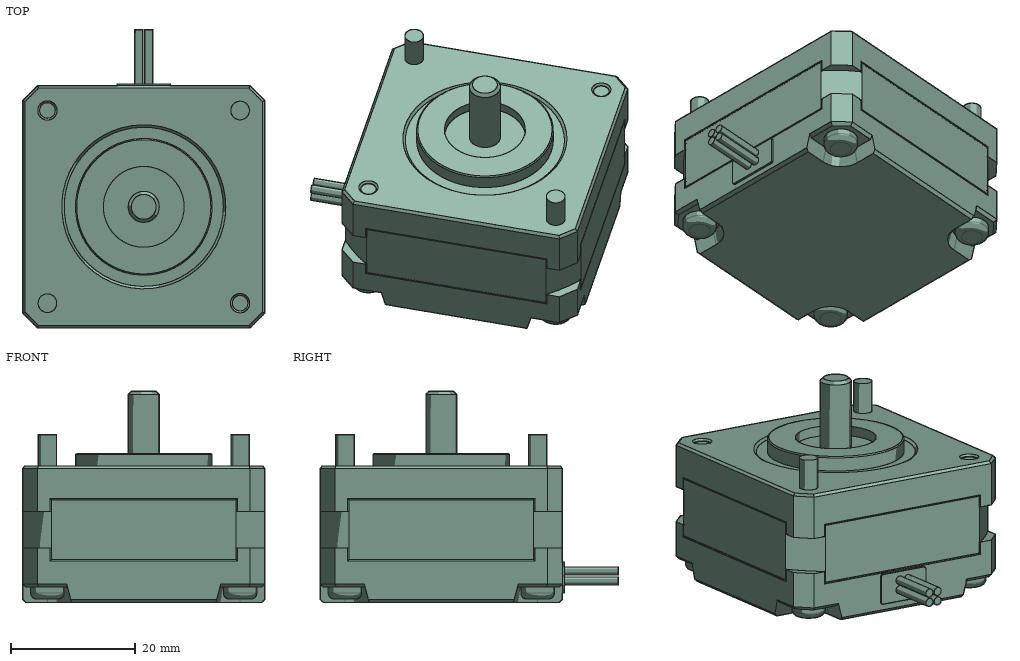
import cadquery as cq
import math

BODY_WIDTH = 39.0
BODY_HEIGHT = 22.0
CORNER_BEVEL = 2.4
TOP_CHAMFER = 0.4
BASE_CHAMFER = 0.5
HALF_WIDTH = BODY_WIDTH / 2

PANEL_WIDTH = 29.7
PANEL_HEIGHT = 9.6
STATOR_MIDDLE_Z = 11.7
GROOVE_WIDTH = 0.2

RELIEF_HEIGHT = 5.9
RELIEF_BOTTOM_Z = STATOR_MIDDLE_Z - RELIEF_HEIGHT / 2
RELIEF_TOP_Z = STATOR_MIDDLE_Z + RELIEF_HEIGHT / 2
STATOR_RADIUS = math.hypot(HALF_WIDTH, PANEL_WIDTH / 2)

POCKET_CEILING_Z = 2.5
POCKET_EDGE_CHAMFER = 0.5
POCKET_TOP_Z = POCKET_CEILING_Z + POCKET_EDGE_CHAMFER
POCKET_BASE_SIZE = 7.9
POCKET_DRAFT = 15.0
POCKET_OVERSIZE = 6.0

SCREW_OFFSET = 15.5
SCREW_HEAD_DIAMETER = 5.4
SCREW_HEAD_BOTTOM_Z = 0.55
SCREW_HEAD_ROUND = 1.0
ROD_DIAMETER = 3.0
HOLE_RIM_DIAMETER = 3.1
ROD_TOP_Z = 27.0
HOLE_CHAMFER = 0.3
HOLE_DEPTH = 0.4

RECESS_DIAMETER = 26.4
RECESS_DEPTH = 0.4
FLANGE_DIAMETER = 22.0
FLANGE_TOP_Z = 24.0
FLANGE_CHAMFER = 0.2
FLANGE_BORE = 13.0
FLANGE_BORE_DEPTH = 1.6

SHAFT_DIAMETER = 5.0
SHAFT_TOP_Z = 34.0
SHAFT_CHAMFER = 0.5

OUTLET_WIDTH = 8.6
OUTLET_HEIGHT = 5.0
OUTLET_THICKNESS = 0.3
OUTLET_CORNER_RADIUS = 0.4
OUTLET_MIDDLE_Z = 4.0
WIRE_DIAMETER = 1.35
WIRE_PITCH = 1.6
WIRE_MIDDLE_Z = 4.27
WIRE_LENGTH = 9.0

EMBED = 1.0

BEVEL_ANGLE = 45
QUARTER_TURNS = [0, 90, 180, 270]


def turn(shape, angle):
    return shape.rotate((0, 0, 0), (0, 0, 1), angle)


def cylinder(diameter, bottom_z, top_z):
    return cq.Workplane("XY").workplane(offset=bottom_z).circle(diameter / 2).extrude(top_z - bottom_z)


def housing_block(bottom_z, top_z):
    height = top_z - bottom_z
    block = cq.Workplane("XY").workplane(offset=bottom_z).rect(BODY_WIDTH, BODY_WIDTH).extrude(height)
    return block.edges("|Z").chamfer(CORNER_BEVEL)


def make_housing():
    block = housing_block(0, BODY_HEIGHT)
    return block.faces(">Z").chamfer(TOP_CHAMFER).faces("<Z").chamfer(BASE_CHAMFER)


def pocket_cutter():
    """Tapered space under the (-X, -Y) corner, below the chamfered pocket ceiling."""
    side = POCKET_BASE_SIZE + POCKET_OVERSIZE
    corner_radius = POCKET_BASE_SIZE - (HALF_WIDTH - SCREW_OFFSET)
    middle = POCKET_BASE_SIZE - HALF_WIDTH - side / 2
    space = (
        cq.Workplane("XY")
        .center(middle, middle)
        .sketch()
        .rect(side, side)
        .vertices()
        .fillet(corner_radius)
        .finalize()
        .extrude(POCKET_TOP_Z, taper=POCKET_DRAFT)
    )
    ceiling = housing_block(POCKET_CEILING_Z, BODY_HEIGHT).faces("<Z").chamfer(POCKET_EDGE_CHAMFER)
    return space.cut(ceiling)


def stator_stack():
    """Round stator stack over the height of the corner reliefs."""
    return cylinder(2 * STATOR_RADIUS, RELIEF_BOTTOM_Z, RELIEF_TOP_Z)


def relief_cutter():
    """Everything outside the round stator stack, over the relief height."""
    return housing_block(RELIEF_BOTTOM_Z, RELIEF_TOP_Z).cut(stator_stack())


def groove_cutter():
    """Groove around the panel on the -Y side, sloping in from the casing and leaving the stack whole."""
    face = cq.Workplane("XZ", origin=(0, -HALF_WIDTH, STATOR_MIDDLE_Z))
    window = face.rect(PANEL_WIDTH + 2 * GROOVE_WIDTH, PANEL_HEIGHT + 2 * GROOVE_WIDTH)
    window = window.extrude(-GROOVE_WIDTH, taper=BEVEL_ANGLE)
    panel = face.rect(PANEL_WIDTH, PANEL_HEIGHT).extrude(-GROOVE_WIDTH)
    return window.cut(panel).cut(stator_stack())


def conical_rim(diameter, depth):
    """Cutter sinking from the top face with a bevelled wall."""
    top_face = cq.Workplane("XY").workplane(offset=BODY_HEIGHT)
    return top_face.circle(diameter / 2).extrude(-depth, taper=BEVEL_ANGLE)


def screw_hole_cutter():
    """Shallow hole with a chamfered rim."""
    floor_z = BODY_HEIGHT - HOLE_DEPTH
    bore = cylinder(HOLE_RIM_DIAMETER - 2 * HOLE_CHAMFER, floor_z, BODY_HEIGHT)
    return bore.union(conical_rim(HOLE_RIM_DIAMETER, HOLE_CHAMFER))


def make_flange():
    flange = cylinder(FLANGE_DIAMETER, BODY_HEIGHT - EMBED, FLANGE_TOP_Z)
    flange = flange.faces(">Z").chamfer(FLANGE_CHAMFER)
    return flange.cut(cylinder(FLANGE_BORE, FLANGE_TOP_Z - FLANGE_BORE_DEPTH, FLANGE_TOP_Z))


def make_shaft():
    return cylinder(SHAFT_DIAMETER, BODY_HEIGHT - EMBED, SHAFT_TOP_Z).faces(">Z").chamfer(SHAFT_CHAMFER)


def make_screw_head():
    head = cylinder(SCREW_HEAD_DIAMETER, SCREW_HEAD_BOTTOM_Z, POCKET_CEILING_Z + EMBED)
    return head.faces("<Z").edges().fillet(SCREW_HEAD_ROUND)


def make_outlet():
    plate = (
        cq.Workplane("XZ", origin=(0, HALF_WIDTH - EMBED, OUTLET_MIDDLE_Z))
        .rect(OUTLET_WIDTH, OUTLET_HEIGHT)
        .extrude(-(EMBED + OUTLET_THICKNESS))
        .edges("|Y")
        .fillet(OUTLET_CORNER_RADIUS)
    )
    wires = (
        cq.Workplane("XZ", origin=(0, HALF_WIDTH - EMBED, WIRE_MIDDLE_Z))
        .rarray(WIRE_PITCH, WIRE_PITCH, 2, 2)
        .circle(WIRE_DIAMETER / 2)
        .extrude(-(EMBED + WIRE_LENGTH))
    )
    return plate.union(wires)


body = make_housing().cut(relief_cutter()).cut(conical_rim(RECESS_DIAMETER, RECESS_DEPTH))
for angle in QUARTER_TURNS:
    body = body.cut(turn(pocket_cutter(), angle)).cut(turn(groove_cutter(), angle))
    screw_head = make_screw_head().translate((-SCREW_OFFSET, -SCREW_OFFSET, 0))
    body = body.union(turn(screw_head, angle))

for side in (-1, 1):
    rod = cylinder(ROD_DIAMETER, BODY_HEIGHT - EMBED, ROD_TOP_Z)
    body = body.union(rod.translate((side * SCREW_OFFSET, side * SCREW_OFFSET, 0)))
    body = body.cut(screw_hole_cutter().translate((-side * SCREW_OFFSET, side * SCREW_OFFSET, 0)))

result = body.union(make_flange()).union(make_shaft()).union(make_outlet())